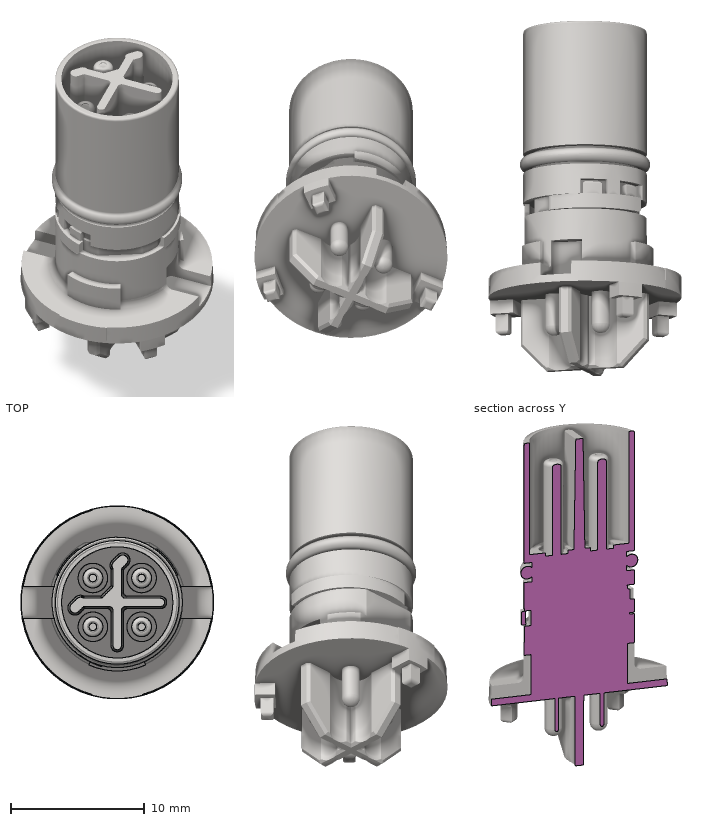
import cadquery as cq
import math

total_height = 25.8
body_radius = 4.65
body_flat_y = 4.02

flange_bottom = 5.47
flange_top = 7.02
tab_top = 9.13
neck_top = 11.45
collar_bottom = 12.62
collar_top = 14.89
sleeve_bottom = 16.35

flange_radius = 7.25
flange_draft = 0.08
undrafted_width = 3.82
neck_fillet = 0.46
tab_radius = 5.15
side_tab_radius = 5.0
tab_half_angle = 24.5
notch_width = 2.43
notch_floor = 6.05
notch_inner_x = 3.6
notch_corner = 0.5

sleeve_bore_radius = 4.18
sleeve_floor = 17.03
rim_fillet = 0.15
seal_groove_radius = 4.02
seal_section_radius = 0.52
seal_outer_radius = 4.9

clip_groove_radius = 4.25
clip_groove_flat = 3.92
clip_groove_flat_angles = (-65.0, 0.0)
clip_groove_flat_y = 3.02
clip_bottom = 11.53
clip_left_center = (0.2, -0.25)
clip_left_radius = 4.77
clip_left_thickness = 0.52
clip_left_arc = (155, 253)
clip_right_center = (0.13, -0.13)
clip_right_radius = 4.7
clip_right_thickness = 0.35
clip_right_arc = (-21, 109)
clip_corner = 0.18
clip_end_round = 0.46
window_height = 1.1
windows = ((194, 219.5), (232.5, 266))
prongs = ((196, 214), (241, 255))
prong_height = 0.95
prong_radius = 4.6
prong_corner = 0.15
window_floor_radius = 4.08

contact_pitch = 3.66
contact_radius = 0.75
contact_top = 24.0
leading_contact_extra = 1.03
contact_tip_radius = 0.39
contact_dimple_radius = 0.28
contact_dimple_depth = 0.08
contact_recess_radius = 1.1
contact_recess_depth = 0.25
tail_radius = 0.67
tail_bottom = 2.37
tail_tip_flat = 0.03

cross_top = 25.67
cross_reach = 3.72
cross_half_width = 0.46
cross_taper = 1.0
cross_bulb_radius = 0.55
cross_bulb_shift = 0.4
cross_corner_fillet = 0.3
cross_gusset = 1.7

shield_half_width = 4.98
shield_tip_half_width = 3.0
shield_half_thickness = 0.5
shield_top = 5.68
shield_edge_chamfer = 0.2
shield_clearance_radius = 1.6

foot_pad_width = 1.95
foot_pad_bottom = 4.46
foot_peg_width = 0.95
foot_peg_bottom = 3.0
foot_peg_round = 0.25
feet = ((226.5, 5.68, 6.3), (313.5, 5.68, 6.3), (90.0, 5.37, 6.42))


def cylinder(radius, bottom, top, center=(0, 0)):
    return cq.Workplane("XY", origin=(*center, bottom)).circle(radius).extrude(top - bottom)


def polar(radius, angle):
    return (radius * math.cos(math.radians(angle)), radius * math.sin(math.radians(angle)))


def ring_sector(inner, outer, start, end, bottom, top):
    """Part of a ring between two directions, with radial ends."""
    middle = (start + end) / 2
    return (
        cq.Workplane("XY", origin=(0, 0, bottom))
        .moveTo(*polar(inner, start))
        .lineTo(*polar(outer, start))
        .threePointArc(polar(outer, middle), polar(outer, end))
        .lineTo(*polar(inner, end))
        .threePointArc(polar(inner, middle), polar(inner, start))
        .close()
        .extrude(top - bottom)
    )


def half_space_y(limit, bottom, top):
    """Block that holds everything with Y below the limit."""
    depth = 4 * flange_radius
    block = cq.Workplane("XY", origin=(0, limit - depth / 2, bottom))
    return block.rect(depth, depth).extrude(top - bottom)


contact_places = [
    (sx * contact_pitch / 2, sy * contact_pitch / 2) for sx in (-1, 1) for sy in (-1, 1)
]


def make_flange_and_neck():
    height = flange_top - flange_bottom
    cone = cq.Workplane("XY", origin=(0, 0, flange_bottom)).circle(flange_radius)
    cone = cone.workplane(offset=height).circle(flange_radius - flange_draft).loft()
    strip = cq.Workplane("XY", origin=(0, 0, flange_bottom))
    strip = strip.rect(undrafted_width, 2 * flange_radius).extrude(height)
    flange = cone.union(strip.intersect(cylinder(flange_radius, flange_bottom, flange_top)))

    neck = cylinder(body_radius, flange_bottom, neck_top)
    neck = neck.intersect(half_space_y(body_flat_y, flange_bottom, neck_top))
    reach = (body_radius + flange_radius) / 2
    slack = height / 10
    foot_edges = cq.selectors.BoxSelector(
        (-reach, -reach, flange_top - slack), (reach, reach, flange_top + slack), boundingbox=True
    )
    return flange.union(neck).edges(foot_edges).fillet(neck_fillet)


def make_tabs():
    bore = seal_groove_radius
    front = ring_sector(
        bore, tab_radius, -90 - tab_half_angle, -90 + tab_half_angle, flange_bottom, tab_top
    )
    left = ring_sector(bore, side_tab_radius, 90, 180 - tab_half_angle, flange_bottom, tab_top)
    right = left.mirror("YZ")
    sides = left.union(right).intersect(half_space_y(body_flat_y, flange_bottom, tab_top))
    return front.union(sides)


def make_notches():
    length = flange_radius
    notch = (
        cq.Workplane("XY", origin=(-notch_inner_x - length / 2, 0, notch_floor))
        .rect(length, notch_width)
        .extrude(tab_top - notch_floor)
        .edges("|Z and >X")
        .fillet(notch_corner)
    )
    return notch.union(notch.mirror("YZ"))


def make_upper_body():
    groove = cylinder(clip_groove_radius, neck_top, collar_bottom)
    groove = groove.intersect(half_space_y(clip_groove_flat_y, neck_top, collar_bottom))
    chip_width = 2 * clip_groove_radius
    for angle in clip_groove_flat_angles:
        chip = cq.Workplane("XY", origin=(clip_groove_flat + chip_width / 2, 0, neck_top))
        chip = chip.rect(chip_width, chip_width).extrude(collar_bottom - neck_top)
        groove = groove.cut(chip.rotate((0, 0, 0), (0, 0, 1), angle))
    upper = groove.union(cylinder(body_radius, collar_bottom, collar_top))
    upper = upper.union(cylinder(seal_groove_radius, collar_top, sleeve_bottom))
    sleeve = cylinder(body_radius, sleeve_bottom, total_height)
    sleeve = sleeve.faces(">Z").edges(cq.selectors.RadiusNthSelector(0)).fillet(rim_fillet)
    sleeve = sleeve.cut(cylinder(sleeve_bore_radius, sleeve_floor, total_height))
    upper = upper.union(sleeve)
    for start, end in windows:
        upper = upper.cut(
            ring_sector(
                window_floor_radius, tab_radius, start, end,
                collar_bottom, collar_bottom + window_height,
            )
        )
    return upper


def make_seal():
    ring_radius = seal_outer_radius - seal_section_radius
    middle = (collar_top + sleeve_bottom) / 2
    section = cq.Workplane("XZ").center(ring_radius, middle).circle(seal_section_radius)
    return section.revolve(360, (-ring_radius, 0), (-ring_radius, 1))


def make_clip():
    def arc(radius, thickness, ends, front_end):
        """Curved leaf of the clip with a chamfered lower corner at its front end."""
        corner = (*polar(radius - thickness / 2, front_end), clip_bottom)
        leaf = ring_sector(radius - thickness, radius, *ends, clip_bottom, collar_bottom)
        return leaf.edges(cq.selectors.NearestToPointSelector(corner)).chamfer(clip_corner)

    left = arc(clip_left_radius, clip_left_thickness, clip_left_arc, clip_left_arc[1])
    right = arc(clip_right_radius, clip_right_thickness, clip_right_arc, clip_right_arc[0])
    middle_height = (clip_bottom + collar_bottom) / 2
    rear_corner = (*polar(clip_left_radius, clip_left_arc[0]), middle_height)
    left = left.edges(cq.selectors.NearestToPointSelector(rear_corner)).fillet(clip_end_round)
    clip = left.translate((*clip_left_center, 0)).union(right.translate((*clip_right_center, 0)))
    for start, end in prongs:
        prong = ring_sector(
            seal_groove_radius, prong_radius, start, end,
            clip_bottom, collar_bottom + prong_height,
        )
        clip = clip.union(prong.faces(">Z").edges().chamfer(prong_corner))
    return clip


def make_contacts():
    contacts = cq.Workplane("XY")
    for place in contact_places:
        is_leading = place[0] < 0 < place[1]
        top = contact_top + (leading_contact_extra if is_leading else 0)
        pin = cylinder(contact_radius, sleeve_floor - contact_recess_depth, top, place)
        pin = pin.faces(">Z").edges().fillet(contact_radius - contact_tip_radius)
        pin = pin.cut(cylinder(contact_dimple_radius, top - contact_dimple_depth, top, place))
        tail = cylinder(tail_radius, tail_bottom, flange_top, place)
        tail = tail.faces("<Z").edges().fillet(tail_radius - tail_tip_flat)
        contacts = contacts.union(pin).union(tail)
    return contacts


def make_contact_recesses():
    recess = cq.Workplane("XY", origin=(0, 0, sleeve_floor - contact_recess_depth))
    recess = recess.pushPoints(contact_places)
    return recess.circle(contact_recess_radius).extrude(contact_recess_depth)


def make_cross():
    base = cq.Workplane("XY", origin=(0, 0, sleeve_floor))
    height = cross_top - sleeve_floor
    bend = cross_reach - cross_bulb_radius - cross_bulb_shift

    def slot(length, width, center, angle):
        sketch = base.center(*center).slot2D(length, width, angle)
        return sketch.extrude(height, taper=cross_taper)

    arm_length = cross_reach + bend + cross_half_width
    arm_middle = (cross_reach - bend - cross_half_width) / 2
    cross = slot(arm_length, 2 * cross_half_width, (arm_middle, 0), 0)
    cross = cross.union(slot(arm_length, 2 * cross_half_width, (0, -arm_middle), 90))

    reach = 2 * cross_half_width
    for sx, sy in ((1, 1), (1, -1), (-1, -1)):
        corner = cq.selectors.BoxSelector(
            (0, 0, sleeve_floor), (sx * reach, sy * reach, cross_top)
        )
        cross = cross.edges(corner).edges("not #Z").fillet(cross_corner_fillet)

    bulb_length = cross_bulb_shift * math.sqrt(2) + 2 * cross_bulb_radius
    near = cross_bulb_shift / 2
    far = bend + cross_bulb_shift / 2
    cross = cross.union(slot(bulb_length, 2 * cross_bulb_radius, (near, far), 45))
    cross = cross.union(slot(bulb_length, 2 * cross_bulb_radius, (-far, -near), 45))

    gusset = base.polyline([(0, 0), (-cross_gusset, 0), (0, cross_gusset)]).close()
    return cross.union(gusset.extrude(height, taper=cross_taper))


def make_shield():
    slope = shield_half_width - shield_tip_half_width
    outline = [
        (-shield_half_width, shield_top),
        (-shield_half_width, slope),
        (-shield_tip_half_width, 0),
        (shield_tip_half_width, 0),
        (shield_half_width, slope),
        (shield_half_width, shield_top),
    ]
    plate = cq.Workplane("XZ").polyline(outline).close()
    plate = plate.extrude(shield_half_thickness, both=True)
    plate = plate.faces("<Y or >Y").edges("not >Z").chamfer(shield_edge_chamfer)
    shield = plate.union(plate.rotate((0, 0, 0), (0, 0, 1), 90))
    for place in contact_places:
        shield = shield.cut(cylinder(shield_clearance_radius, 0, flange_bottom, place))
    return shield


def make_foot(angle, pad_inner, peg_place):
    pad_length = flange_radius - pad_inner
    pad = (
        cq.Workplane("XY", origin=(pad_inner + pad_length / 2, 0, foot_pad_bottom))
        .rect(pad_length, foot_pad_width)
        .extrude(flange_top - foot_pad_bottom)
        .intersect(cylinder(flange_radius, foot_pad_bottom, flange_bottom))
    )
    peg = (
        cq.Workplane("XY", origin=(peg_place, 0, foot_peg_bottom))
        .rect(foot_peg_width, foot_peg_width)
        .extrude(flange_bottom - foot_peg_bottom)
        .faces("<Z")
        .edges()
        .fillet(foot_peg_round)
    )
    return pad.union(peg).rotate((0, 0, 0), (0, 0, 1), angle)


result = make_flange_and_neck().union(make_tabs()).cut(make_notches())
result = result.union(make_upper_body()).cut(make_contact_recesses())
for feature in (make_seal(), make_clip(), make_shield(), make_contacts(), make_cross()):
    result = result.union(feature)
for foot in feet:
    result = result.union(make_foot(*foot))